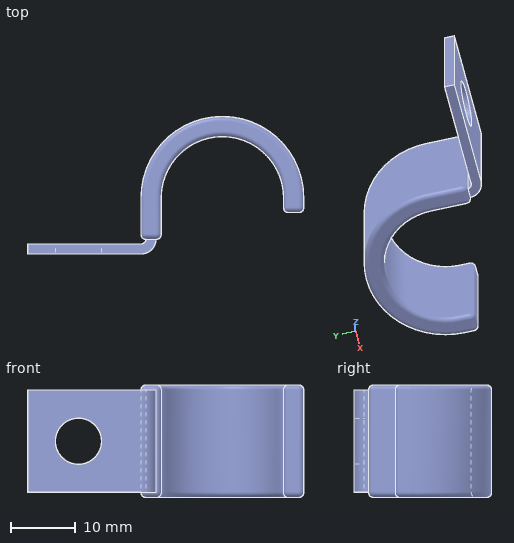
import cadquery as cq

length = 42.8
strap_thickness = 1.6
strap_width = 15.88
hole_diameter = 7.1
hole_x = 7.87

cover = strap_thickness / 2
cushion_width = strap_width + 2 * cover
outer_radius = 12.62
inner_radius = outer_radius - strap_thickness - 2 * cover
long_leg = 6.45
short_leg = 2.3

center_x = length - outer_radius
center_y = 8.75
bend_inner_radius = cover
bend_outer_radius = bend_inner_radius + strap_thickness
strap_right_x = center_x - inner_radius - cover
strap_left_x = strap_right_x - strap_thickness
bend_center_x = strap_right_x - bend_outer_radius
bend_center_y = bend_outer_radius


def make_cushion():
    """J-shaped cushion with unequal straight legs and rounded edges."""
    outer_left = center_x - outer_radius
    inner_left = center_x - inner_radius
    inner_right = center_x + inner_radius
    outer_right = center_x + outer_radius
    return (
        cq.Workplane("XY")
        .moveTo(outer_left, center_y - long_leg)
        .lineTo(outer_left, center_y)
        .threePointArc((center_x, center_y + outer_radius), (outer_right, center_y))
        .lineTo(outer_right, center_y - short_leg)
        .lineTo(inner_right, center_y - short_leg)
        .lineTo(inner_right, center_y)
        .threePointArc((center_x, center_y + inner_radius), (inner_left, center_y))
        .lineTo(inner_left, center_y - long_leg)
        .close()
        .extrude(cushion_width / 2, both=True)
        .edges("|Z")
        .edges(cq.selectors.BoxSelector(
            (outer_left - cover, center_y - long_leg - cover, -cushion_width),
            (outer_right + cover, center_y - cover, cushion_width),
        ))
        .fillet(cover)
        .faces("<Z or >Z")
        .edges()
        .fillet(cover)
    )


def make_strap():
    """Flat flange bent up into the cushion's long leg."""
    return (
        cq.Workplane("XY")
        .moveTo(0, 0)
        .lineTo(bend_center_x, 0)
        .radiusArc((strap_right_x, bend_center_y), -bend_outer_radius)
        .lineTo(strap_right_x, center_y)
        .lineTo(strap_left_x, center_y)
        .lineTo(strap_left_x, bend_center_y)
        .radiusArc((bend_center_x, strap_thickness), bend_inner_radius)
        .lineTo(0, strap_thickness)
        .close()
        .extrude(strap_width / 2, both=True)
    )


def make_mounting_hole():
    return (
        cq.Workplane("XZ")
        .center(hole_x, 0)
        .circle(hole_diameter / 2)
        .extrude(-strap_thickness)
    )


result = make_cushion().union(make_strap()).cut(make_mounting_hole())